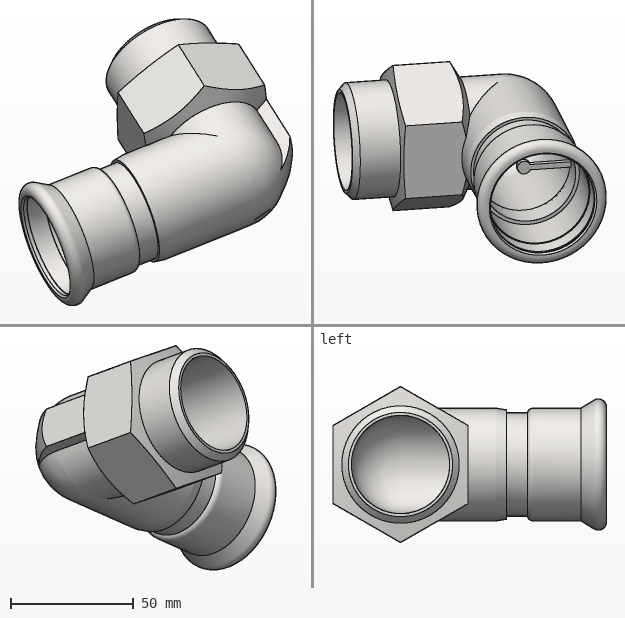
import cadquery as cq
import math


TUBE_R = 46.0 / 2
ELBOW_BORE_R = 40.0 / 2
SOCKET_END = 84.0
SHOULDER_START = 39.0
SHOULDER_END = 43.3
SHOULDER_R = 22.3
NECK_R = 42.3 / 2
SOCKET_START = 54.1
SOCKET_CORNER_R = 2.5
FLARE_START = 73.5
FLARE_END = 78.6
RIM_R = 26.8
RIM_ROUND_R = 3.3

STOP_R = 39.0 / 2
STOP_DEPTH = 52.4
SOCKET_BORE_R = 42.0 / 2
MOUTH_START = 73.5
MOUTH_START_R = 42.8 / 2
MOUTH_END = 81.4
MOUTH_END_R = 43.9 / 2
RIM_STEP_R = 43.3 / 2
ENTRY_R = 22.3
ENTRY_DEPTH = 0.9

DISC_R = 2.8
ARM_WIDTH = 2.3
ARM_THICKNESS = 2.2
ARM_PLACE = 40.1

NUT_BACK = -17.8
HEX_FRONT = -47.7
THREAD_END = -67.1
ACROSS_FLATS = 55.1
HEX_CORNER_R = ACROSS_FLATS / math.sqrt(3)
THREAD_R = 47.8 / 2
THREAD_CHAMFER = 2.7
FRONT_CONE_ANGLE = 10.0
BACK_CONE_ANGLE = 30.0

PAD_HALF_HEIGHT = 8.4
PAD_FACE = ACROSS_FLATS / 2
PAD_START = -23.0
PAD_END_ARC = [(0, 28.8), (10.8, 21.5), (20.1, 8.9)]


def along_x(radius, start, end):
    """Cylinder about the X axis."""
    return cq.Workplane("YZ", origin=(start, 0, 0)).circle(radius).extrude(end - start)


def along_socket(radius, start, end):
    """Cylinder about the Y axis, from start to end along -Y."""
    return cq.Workplane("XZ", origin=(0, -start, 0)).circle(radius).extrude(end - start)


def socket_outside():
    """Tube, neck, socket and rounded rim, turned about the Y axis."""
    corner_middle = TUBE_R - SOCKET_CORNER_R
    neck_end = SOCKET_START - math.sqrt(SOCKET_CORNER_R**2 - (NECK_R - corner_middle) ** 2)
    diagonal = SOCKET_CORNER_R * math.sqrt(0.5)
    rim_middle = RIM_R - RIM_ROUND_R
    rim_depth = SOCKET_END - RIM_ROUND_R
    flare_r = rim_middle + math.sqrt(RIM_ROUND_R**2 - (rim_depth - FLARE_END) ** 2)
    profile = (
        cq.Workplane("XY")
        .lineTo(TUBE_R, 0)
        .lineTo(TUBE_R, -SHOULDER_START)
        .lineTo(SHOULDER_R, -SHOULDER_END)
        .lineTo(NECK_R, -SHOULDER_END)
        .lineTo(NECK_R, -neck_end)
        .threePointArc((corner_middle + diagonal, diagonal - SOCKET_START), (TUBE_R, -SOCKET_START))
        .lineTo(TUBE_R, -FLARE_START)
        .lineTo(flare_r, -FLARE_END)
        .threePointArc((RIM_R, -rim_depth), (rim_middle, -SOCKET_END))
        .lineTo(0, -SOCKET_END)
        .close()
    )
    return profile.revolve(360, (0, 0, 0), (0, 1, 0))


def wrench_pad():
    """Flat-sided pad outside the bend, with a domed end turned about the X axis."""
    dome_start, dome_middle, dome_end = PAD_END_ARC
    slab = (
        cq.Workplane("XY", origin=(0, 0, -PAD_HALF_HEIGHT))
        .moveTo(PAD_START, 0)
        .lineTo(TUBE_R, 0)
        .lineTo(TUBE_R, PAD_FACE)
        .lineTo(PAD_START, PAD_FACE)
        .close()
        .extrude(2 * PAD_HALF_HEIGHT)
    )
    dome = (
        cq.Workplane("XY")
        .moveTo(PAD_START, 0)
        .lineTo(PAD_START, dome_start[1])
        .lineTo(*dome_start)
        .threePointArc(dome_middle, dome_end)
        .lineTo(dome_end[0], 0)
        .close()
        .revolve(360, (0, 0, 0), (1, 0, 0))
    )
    return slab.intersect(dome).cut(nut_hexagon())


def threaded_end():
    return along_x(THREAD_R, THREAD_END, HEX_FRONT).faces("<X").chamfer(THREAD_CHAMFER)


def elbow_outside():
    return (
        socket_outside()
        .union(along_x(TUBE_R, HEX_FRONT, 0))
        .union(threaded_end())
        .union(cq.Workplane("XY").sphere(TUBE_R))
        .union(wrench_pad())
    )


def mouth():
    """Flared seat behind a slightly narrower rim, opening with a lead-in cone."""
    return (
        cq.Workplane("XY")
        .moveTo(0, -SOCKET_END)
        .lineTo(ENTRY_R, -SOCKET_END)
        .lineTo(RIM_STEP_R, ENTRY_DEPTH - SOCKET_END)
        .lineTo(RIM_STEP_R, -MOUTH_END)
        .lineTo(MOUTH_END_R, -MOUTH_END)
        .lineTo(MOUTH_START_R, -MOUTH_START)
        .lineTo(0, -MOUTH_START)
        .close()
        .revolve(360, (0, 0, 0), (0, 1, 0))
    )


def elbow_bore():
    return (
        along_x(ELBOW_BORE_R, THREAD_END, 0)
        .union(cq.Workplane("XY").sphere(ELBOW_BORE_R))
        .union(along_socket(ELBOW_BORE_R, 0, ARM_PLACE))
        .union(along_socket(STOP_R, ARM_PLACE, STOP_DEPTH))
        .union(along_socket(SOCKET_BORE_R, STOP_DEPTH, SOCKET_END))
        .union(mouth())
    )


def disc_and_arm():
    """Disc on the tube axis, carried by an arm from the +X wall."""
    arm_length = (STOP_R + NECK_R) / 2
    disc = along_socket(DISC_R, ARM_PLACE, ARM_PLACE + ARM_THICKNESS)
    arm = (
        cq.Workplane("XZ", origin=(0, -ARM_PLACE, 0))
        .center(arm_length / 2, 0)
        .rect(arm_length, ARM_WIDTH)
        .extrude(ARM_THICKNESS)
    )
    return disc.union(arm)


def make_elbow():
    return elbow_outside().cut(elbow_bore()).union(disc_and_arm())


def nut_hexagon():
    """Hexagon with corners at +Z and -Z and both ends turned to cones."""
    front_rise = (HEX_CORNER_R - THREAD_R) * math.tan(math.radians(FRONT_CONE_ANGLE))
    back_drop = (HEX_CORNER_R - TUBE_R) * math.tan(math.radians(BACK_CONE_ANGLE))
    hexagon = (
        cq.Workplane("YZ", origin=(HEX_FRONT, 0, 0))
        .transformed(rotate=(0, 0, 90))
        .polygon(6, 2 * HEX_CORNER_R)
        .extrude(NUT_BACK - HEX_FRONT)
    )
    turned = (
        cq.Workplane("XY")
        .moveTo(HEX_FRONT, 0)
        .lineTo(HEX_FRONT, THREAD_R)
        .lineTo(HEX_FRONT + front_rise, HEX_CORNER_R)
        .lineTo(NUT_BACK - back_drop, HEX_CORNER_R)
        .lineTo(NUT_BACK, TUBE_R)
        .lineTo(NUT_BACK, 0)
        .close()
        .revolve(360, (0, 0, 0), (1, 0, 0))
    )
    return hexagon.intersect(turned)


def make_nut():
    """Hexagon seated round the elbow tube, hollowed where the socket tube passes."""
    return (
        nut_hexagon()
        .cut(along_x(TUBE_R, HEX_FRONT, NUT_BACK))
        .cut(along_socket(TUBE_R, 0, SHOULDER_START))
    )


elbow = make_elbow()
nut = make_nut()

result = cq.Compound.makeCompound([elbow.val(), nut.val()])